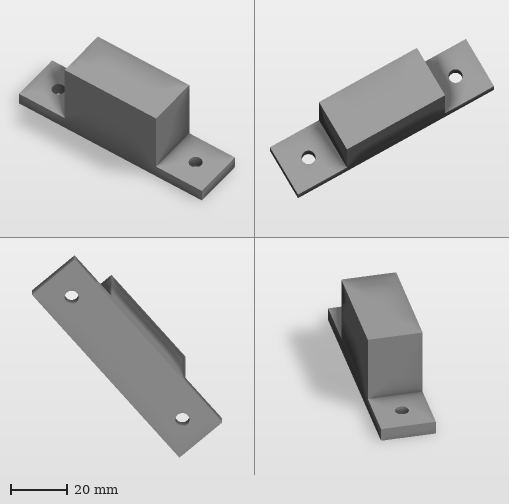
import cadquery as cq

length = 80.0
width = 20.0
height = 30.0
flange_thickness = 5.0
block_length = length / 2
hole_diameter = 5.0

hole_offset = (length + block_length) / 4


def make_base():
    """Mounting plate resting on Z = 0, with a through hole in each flange."""
    plate = cq.Workplane("XY").box(length, width, flange_thickness, centered=(True, True, False))
    return (
        plate.faces(">Z")
        .workplane()
        .pushPoints([(-hole_offset, 0), (hole_offset, 0)])
        .hole(hole_diameter)
    )


def make_block():
    """Central solid block running the full height and width."""
    return cq.Workplane("XY").box(block_length, width, height, centered=(True, True, False))


result = make_base().union(make_block())